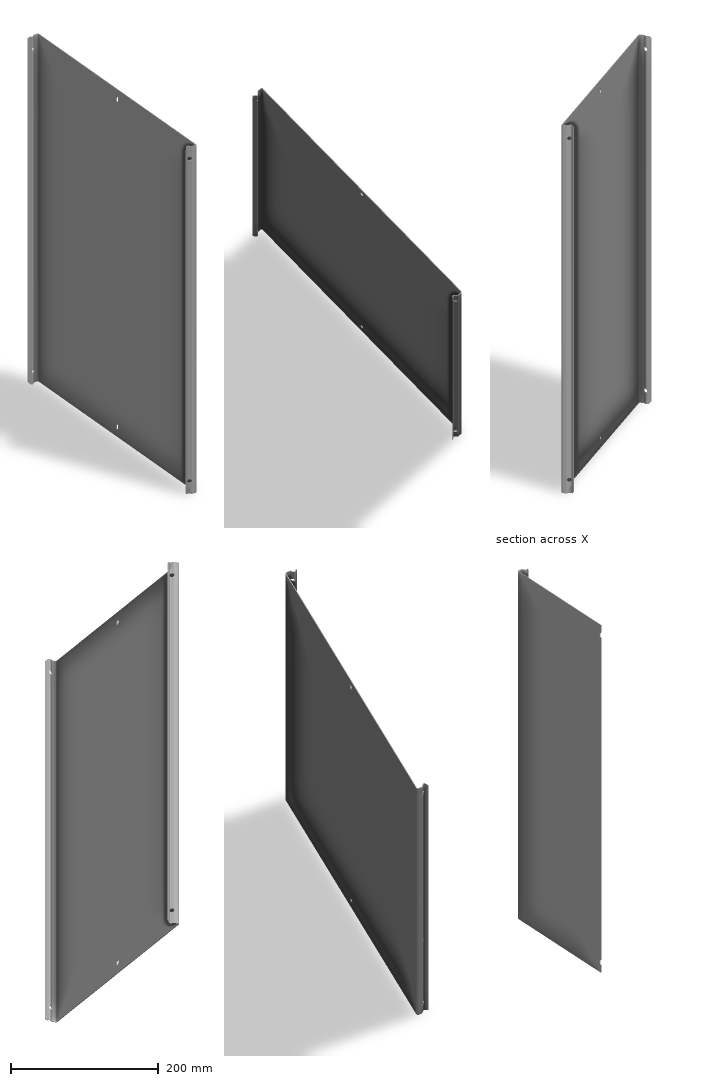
import cadquery as cq
import math

WIDTH = 403.0
DEPTH = 18.0
HEIGHT = 525.0
THICKNESS = 1.0
BEND_RADIUS = 2.5

FLANK_ANGLE = math.radians(45)
WALL_LENGTH = 8.0
BEAD_RADIUS = 2.0
LIP_CORNER_CHAMFER = 3.0

SLOT_WIDTH = 5.0
SLOT_HEIGHT = 7.5
SLOT_EDGE_DISTANCE = 15.0

FLANGE_HOLE_DIAMETER = 5.0
FLANGE_HOLE_EDGE_DISTANCE = 19.0
FLANGE_HOLE_FROM_REAR = 10.5

HALF_WIDTH = WIDTH / 2
HALF_HEIGHT = HEIGHT / 2
REAR_Y = DEPTH / 2
FRONT_Y = -DEPTH / 2


def make_folded_sheet():
    """Extrude the constant cross-section of panel, flanges and snap beads."""
    half_bead = (DEPTH - WALL_LENGTH - THICKNESS * math.sin(FLANK_ANGLE)) / 2
    bead_depth = half_bead * math.tan(FLANK_ANGLE)
    wall_end_y = REAR_Y - WALL_LENGTH
    crest_y = wall_end_y - half_bead

    outer_corner = (HALF_WIDTH, REAR_Y)
    outer_wall_end = (HALF_WIDTH, wall_end_y)
    outer_crest = (HALF_WIDTH - bead_depth, crest_y)
    outer_tip = (HALF_WIDTH, crest_y - half_bead)

    inner_x = HALF_WIDTH - THICKNESS
    inner_tip = (HALF_WIDTH - THICKNESS * math.cos(FLANK_ANGLE), FRONT_Y)
    inner_crest = (outer_crest[0] - THICKNESS / math.cos(FLANK_ANGLE), crest_y)
    inner_wall_end = (inner_x, wall_end_y + THICKNESS * math.tan(FLANK_ANGLE / 2))
    inner_corner = (inner_x, REAR_Y - THICKNESS)

    right_side = [
        outer_corner, outer_wall_end, outer_crest, outer_tip,
        inner_tip, inner_crest, inner_wall_end, inner_corner,
    ]
    left_side = [(-x, y) for x, y in reversed(right_side)]
    sheet = (
        cq.Workplane("XY")
        .workplane(offset=-HALF_HEIGHT)
        .polyline(right_side + left_side)
        .close()
        .extrude(HEIGHT)
    )

    for convex, concave, radius in (
        (outer_corner, inner_corner, BEND_RADIUS),
        (outer_wall_end, inner_wall_end, BEAD_RADIUS),
        (inner_crest, outer_crest, BEAD_RADIUS),
    ):
        sheet = round_fold(sheet, convex, radius)
        sheet = round_fold(sheet, concave, radius - THICKNESS)
    return sheet


def round_fold(sheet, point, radius):
    """Round the vertical edge at a section point, on both sides of the part."""
    x, y = point
    for side in (-1, 1):
        nearest = cq.selectors.NearestToPointSelector((side * x, y, 0))
        sheet = sheet.edges("|Z").edges(nearest).fillet(radius)
    return sheet


def make_lip_corner_cuts():
    """Triangular cutters for the upper and lower corners of both free lips."""
    cutters = cq.Workplane("YZ")
    for end in (-1, 1):
        tip_z = end * HALF_HEIGHT
        cutters = cutters.polyline([
            (FRONT_Y, tip_z),
            (FRONT_Y + LIP_CORNER_CHAMFER, tip_z),
            (FRONT_Y, tip_z - end * LIP_CORNER_CHAMFER),
        ]).close()
    return cutters.extrude(HALF_WIDTH, both=True)


def make_panel_slots():
    slot_z = HALF_HEIGHT - SLOT_EDGE_DISTANCE
    return (
        cq.Workplane("XZ")
        .pushPoints([(0, -slot_z), (0, slot_z)])
        .slot2D(SLOT_HEIGHT, SLOT_WIDTH, 90)
        .extrude(DEPTH, both=True)
    )


def make_flange_holes():
    hole_y = REAR_Y - FLANGE_HOLE_FROM_REAR
    hole_z = HALF_HEIGHT - FLANGE_HOLE_EDGE_DISTANCE
    return (
        cq.Workplane("YZ")
        .pushPoints([(hole_y, -hole_z), (hole_y, hole_z)])
        .circle(FLANGE_HOLE_DIAMETER / 2)
        .extrude(HALF_WIDTH, both=True)
    )


result = make_folded_sheet()
result = result.cut(make_lip_corner_cuts())
result = result.cut(make_panel_slots())
result = result.cut(make_flange_holes())